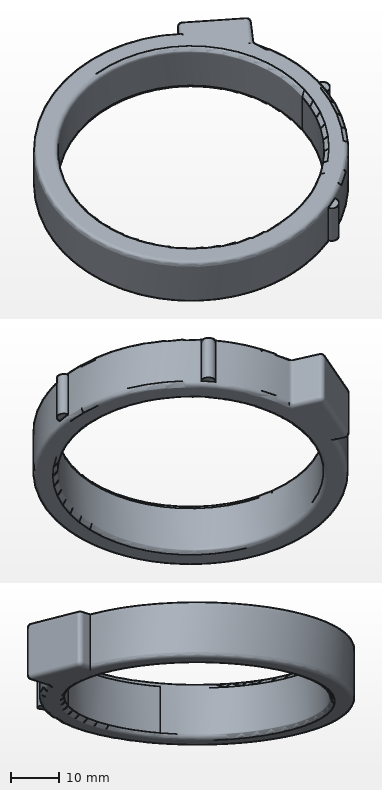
import cadquery as cq
import math

overall_length = 71.0

ring_height = 12.0
outer_radius = 32.5
bore_radius = 27.5
edge_round = 1.0
wall_height = ring_height - 2 * edge_round

tab_turn = 27.0
tab_start = 0.4
tab_end = 15.6
tab_tip_y = overall_length - outer_radius
tab_reach = edge_round + (
    (tab_tip_y - edge_round - (tab_end - edge_round) * math.sin(math.radians(tab_turn)))
    / math.cos(math.radians(tab_turn))
)

electrode_start = -5.0
electrode_end = 55.0
electrode_thickness = 1.0
marker_radius = 1.5


def at_angle(radius, degrees):
    """Point at a distance from the ring axis, in a direction measured from +X."""
    angle = math.radians(degrees)
    return (radius * math.cos(angle), radius * math.sin(angle))


def upright(sketch, height):
    """Extrude a plan outline by equal amounts above and below the middle plane."""
    return sketch.extrude(height / 2, both=True)


def make_tab():
    """Tab block with rounded outer corners, running in past the ring wall to be trimmed by the bore."""
    block = cq.Workplane("XY").box(
        tab_end - tab_start, tab_reach, ring_height, centered=(False, False, True)
    )
    block = block.translate((tab_start, 0, 0))
    block = block.edges("|Z and >Y").fillet(edge_round)
    return block.rotate((0, 0, 0), (0, 0, 1), tab_turn)


def make_electrode():
    """Curved strip whose inner face is flush with the bore."""
    back_radius = bore_radius + electrode_thickness
    middle = (electrode_start + electrode_end) / 2
    outline = (
        cq.Workplane("XY")
        .moveTo(*at_angle(bore_radius, electrode_start))
        .lineTo(*at_angle(back_radius, electrode_start))
        .threePointArc(at_angle(back_radius, middle), at_angle(back_radius, electrode_end))
        .lineTo(*at_angle(bore_radius, electrode_end))
        .threePointArc(at_angle(bore_radius, middle), at_angle(bore_radius, electrode_start))
        .close()
    )
    return upright(outline, wall_height)


def make_markers():
    """Half-round ribs on the outer wall, one in line with each end of the electrode."""
    places = [at_angle(outer_radius, angle) for angle in (electrode_start, electrode_end)]
    return upright(cq.Workplane("XY").pushPoints(places).circle(marker_radius), wall_height)


def make_housing(electrode):
    """Ring with its tab, rounded edges and marker ribs, and a recess for the electrode."""
    body = upright(cq.Workplane("XY").circle(outer_radius), ring_height).union(make_tab())

    body = body.cut(upright(cq.Workplane("XY").circle(bore_radius), ring_height))
    body = body.faces("<Z or >Z").edges().fillet(edge_round)

    right_root = at_angle(outer_radius, tab_turn + math.degrees(math.acos(tab_end / outer_radius)))
    body = body.edges(cq.selectors.NearestToPointSelector((*right_root, 0))).fillet(edge_round)

    return body.union(make_markers()).cut(electrode)


electrode = make_electrode()
housing = make_housing(electrode)
result = cq.Compound.makeCompound([housing.val(), electrode.val()])